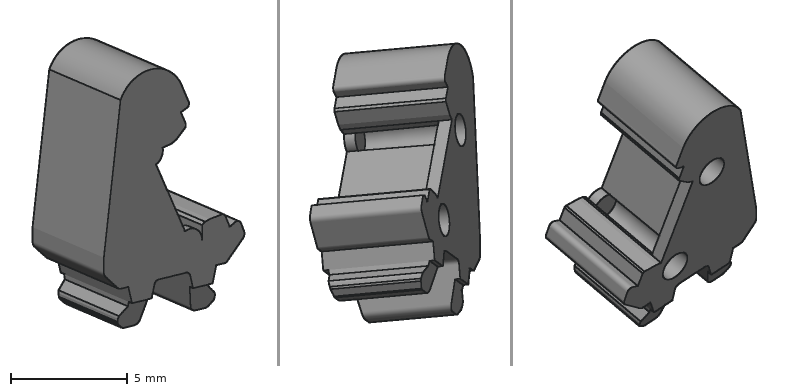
import cadquery as cq
import math

width = 5.08
left_face = -width / 2
right_face = width / 2
front = -3.69
body_bottom = 2.05

pivot_radius = 0.7
pivot_end_radius = 0.64
upper_pivot = (-1.15, 7.88)
lower_pivot = (0.96, 3.36)
dome_top = 11.68
dome_edge_height = 10.63
dome_half_width = 1.65
pin_length = 0.51

slope_top = (-0.05, 8.07)
slope_foot = (1.76, 4.16)

pocket_wall = 0.61
pocket_draft = 15.0
pocket_ledge = (1.6, 4.04)

shank_bottom = 1.27
foot_top_width = 4.61
foot_bottom_width = 3.97
leg_root_outer = 2.37
leg_root_inner = 0.92
leg_root_fillet = 0.23
foot_inner_fillet = 0.33


def extrude_across(outline):
    """Extrude a YZ sketch over the whole width."""
    return outline.close().extrude(width)


def yz_plane():
    return cq.Workplane("YZ", origin=(left_face, 0, 0))


def round_edge(solid, position, radius):
    """Round the long edge along X that passes through the (y, z) position."""
    point = (0, position[0], position[1])
    return solid.edges(cq.selectors.NearestToPointSelector(point)).fillet(radius)


def make_body():
    dome_front = (upper_pivot[0] - dome_half_width, dome_edge_height)
    dome_back = (upper_pivot[0] + dome_half_width, dome_edge_height)
    tail_tip = (3.61, 3.92)
    tail_back = (3.94, 3.12)
    tail_bottom = (2.9, body_bottom)
    front_bottom = (-2.87, body_bottom)
    front_corner = (front, 2.85)
    body = extrude_across(
        yz_plane()
        .moveTo(*front_bottom)
        .lineTo(*front_corner)
        .lineTo(front, 3.65)
        .lineTo(*dome_front)
        .threePointArc((upper_pivot[0], dome_top), dome_back)
        .lineTo(0.86, 9.82)
        .threePointArc((0.9, 9.67), (0.82, 9.54))
        .lineTo(0.47, 9.39)
        .lineTo(0.72, 8.83)
        .lineTo(0.72, 8.68)
        .lineTo(0.23, 8.22)
        .lineTo(*slope_top)
        .lineTo(*slope_foot)
        .lineTo(2.01, 4.23)
        .lineTo(2.72, 4.31)
        .lineTo(2.81, 4.26)
        .lineTo(3.1, 3.65)
        .lineTo(*tail_tip)
        .lineTo(*tail_back)
        .lineTo(*tail_bottom)
    )
    body = round_edge(body, tail_tip, 0.23)
    body = round_edge(body, tail_back, 0.28)
    body = round_edge(body, tail_bottom, 0.18)
    body = round_edge(body, front_corner, 0.35)
    return round_edge(body, front_bottom, 0.18)


def make_back_leg():
    foot_inner = (1.41, 0)
    leg = extrude_across(
        yz_plane()
        .moveTo(leg_root_outer, body_bottom)
        .lineTo(2.17, shank_bottom)
        .lineTo(2.17, 1.05)
        .lineTo(2.58, 0.67)
        .lineTo(2.62, 0.55)
        .lineTo(2.62, 0.4)
        .lineTo(2.58, 0.29)
        .lineTo(2.31, 0.04)
        .lineTo(2.22, 0)
        .lineTo(*foot_inner)
        .lineTo(leg_root_inner, body_bottom)
    )
    leg = round_edge(leg, foot_inner, foot_inner_fillet)
    side = (
        cq.Workplane("XZ")
        .polyline([
            (left_face, body_bottom),
            (left_face, shank_bottom),
            (-foot_top_width / 2, shank_bottom),
            (-foot_bottom_width / 2, 0),
            (foot_bottom_width / 2, 0),
            (foot_top_width / 2, shank_bottom),
            (right_face, shank_bottom),
            (right_face, body_bottom),
        ])
        .close()
        .extrude(2 * leg_root_outer, both=True)
    )
    return leg.intersect(side)


def pivot_hole(center):
    """Tapered blind hole from the -X face; the rest of the width stays as a pin."""
    depth = width - pin_length
    taper = math.degrees(math.atan2(pivot_radius - pivot_end_radius, depth))
    return yz_plane().center(*center).circle(pivot_radius).extrude(depth, taper=taper)


def pivot_pin(center):
    start = right_face - pin_length
    return (
        cq.Workplane("YZ", origin=(start, 0, 0))
        .center(*center)
        .circle(pivot_end_radius)
        .extrude(pin_length)
    )


def make_pocket():
    """Pocket from the back face to the line of the pivots, with a drafted -X wall."""
    slope_run = slope_foot[0] - slope_top[0]
    slope_drop = slope_top[1] - slope_foot[1]
    slope_length = math.hypot(slope_run, slope_drop)
    pocket = extrude_across(
        yz_plane()
        .moveTo(*slope_top)
        .lineTo(*slope_foot)
        .lineTo(*pocket_ledge)
        .lineTo(pocket_ledge[0], lower_pivot[1])
        .lineTo(*lower_pivot)
        .lineTo(*upper_pivot)
    )
    inward = (0, -slope_drop / slope_length, -slope_run / slope_length)
    along_slope = (0, slope_run / slope_length, -slope_drop / slope_length)
    section = cq.Plane(origin=(0, *slope_top), xDir=inward, normal=along_slope)
    across = section.yDir.x
    wall = left_face + pocket_wall
    reach = 2 * pivot_radius
    drafted_wall = wall + reach * math.tan(math.radians(pocket_draft))
    wedge = (
        cq.Workplane(section)
        .polyline([
            (0, across * wall),
            (reach, across * drafted_wall),
            (reach, across * right_face),
            (0, across * right_face),
        ])
        .close()
        .extrude(slope_length + reach, both=True)
    )
    return pocket.intersect(wedge)


back_leg = make_back_leg()
front_leg = back_leg.mirror("XZ")
result = make_body().union(back_leg).union(front_leg)
for side in (-1, 1):
    result = round_edge(result, (side * leg_root_inner, body_bottom), leg_root_fillet)

result = result.cut(make_pocket())
for pivot in (upper_pivot, lower_pivot):
    result = result.cut(pivot_hole(pivot))
    result = result.union(pivot_pin(pivot))